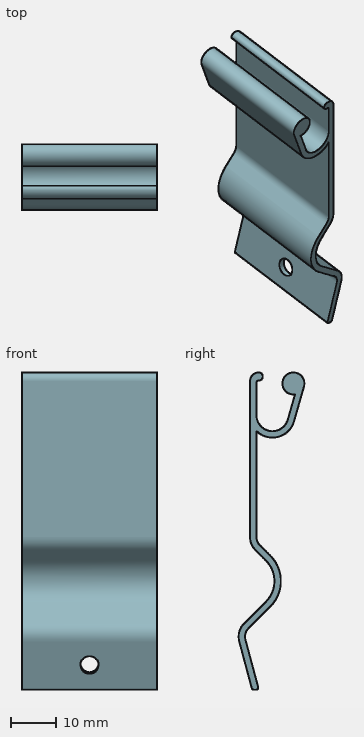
import cadquery as cq
import math

width = 30.0
height = 70.5
thickness = 1.5

bend_outer_radius = 4.0
bend_mid_radius = bend_outer_radius - thickness / 2
bulge_inner_radius = 6.5
bulge_mid_radius = bulge_inner_radius + thickness / 2
slope_angle = 45.0
tail_angle = 15.0
upper_bend_z = 33.9
bulge_y = -1.05
lower_bend_y = 1.5
foot_edge_radius = 0.5

lip_outer_radius = 2.0
lip_bulb_radius = 0.9
lip_fillet_radius = 0.5

hook_outer_radius = 5.0
hook_inner_radius = hook_outer_radius - thickness
hook_z = 61.0
hook_leg_angle = 16.0
bead_radius = 2.5

hole_diameter = 4.0
hole_z = 5.675


def polar(center, radius, angle):
    """Point at an angle (degrees from +Y towards +Z) around a (Y, Z) center."""
    turn = math.radians(angle)
    return (center[0] + radius * math.cos(turn), center[1] + radius * math.sin(turn))


def profile():
    """Sketch plane whose local axes are Y and Z, on the side face of the part."""
    return cq.Workplane("YZ").workplane(offset=-width / 2)


tangent_reach = (bend_mid_radius + bulge_mid_radius) / math.sin(math.radians(slope_angle))
upper_bend = (bend_outer_radius, upper_bend_z)
bulge = (bulge_y, upper_bend_z - tangent_reach + (bend_outer_radius - bulge_y))
lower_bend = (lower_bend_y, bulge[1] - tangent_reach + (lower_bend_y - bulge_y))
lip_center = (lip_outer_radius, height - lip_outer_radius)


def tail_point(offset, z):
    """Point of the sloping tail at height z, offset to the front of its mid-surface."""
    start = polar(lower_bend, bend_mid_radius + offset, 180 + tail_angle)
    return (start[0] + (start[1] - z) * math.tan(math.radians(tail_angle)), z)


def face_arcs(offset):
    """Start, middle and end points of the three bends on one face, top to bottom."""
    bends = (
        (upper_bend, bend_mid_radius + offset, 180, 180 + slope_angle),
        (bulge, bulge_mid_radius - offset, slope_angle, -slope_angle),
        (lower_bend, bend_mid_radius + offset, 180 - slope_angle, 180 + tail_angle),
    )
    return [
        [polar(center, radius, angle) for angle in (start, (start + end) / 2, end)]
        for center, radius, start, end in bends
    ]


def make_strip():
    half = thickness / 2
    outline = profile().moveTo(0, lip_center[1])
    for start, middle, end in face_arcs(half):
        outline = outline.lineTo(*start).threePointArc(middle, end)
    outline = outline.lineTo(*tail_point(half, 0)).lineTo(*tail_point(-half, 0))
    for start, middle, end in reversed(face_arcs(-half)):
        outline = outline.lineTo(*end).threePointArc(middle, start)
    strip = outline.lineTo(thickness, lip_center[1]).close().extrude(width)
    return strip.faces("<Z").edges("|X").fillet(foot_edge_radius)


def make_lip():
    """Quarter roll ending in a round bulb, with a fillet under it."""
    inner_radius = lip_outer_radius - thickness
    roll = (
        profile()
        .moveTo(0, lip_center[1])
        .threePointArc(polar(lip_center, lip_outer_radius, 135), (lip_center[0], height))
        .lineTo(lip_center[0], height - thickness)
        .threePointArc(polar(lip_center, inner_radius, 135), (thickness, lip_center[1]))
        .close()
        .extrude(width)
    )
    bulb_center = (lip_center[0], height - lip_bulb_radius)
    bulb = profile().center(*bulb_center).circle(lip_bulb_radius).extrude(width)

    fillet_y = thickness + lip_fillet_radius
    reach = lip_bulb_radius + lip_fillet_radius
    drop = math.sqrt(reach**2 - (fillet_y - bulb_center[0]) ** 2)
    fillet_center = (fillet_y, bulb_center[1] - drop)
    touch_angle = math.degrees(math.atan2(drop, bulb_center[0] - fillet_y))
    web = (
        profile()
        .moveTo(thickness, fillet_center[1])
        .threePointArc(
            polar(fillet_center, lip_fillet_radius, (180 + touch_angle) / 2),
            polar(fillet_center, lip_fillet_radius, touch_angle),
        )
        .lineTo(*bulb_center)
        .lineTo(thickness / 2, bulb_center[1])
        .lineTo(thickness / 2, fillet_center[1])
        .close()
        .extrude(width)
    )
    return roll.union(bulb).union(web)


def make_hook():
    """U-shaped hook whose leaning leg runs tangent into a round bead."""
    lean = math.radians(hook_leg_angle)
    center = (thickness + hook_inner_radius, hook_z)
    bead_z = height - bead_radius
    rise = bead_z - hook_z
    bead_shift = (hook_outer_radius - bead_radius + rise * math.sin(lean)) / math.cos(lean)
    bead_center = (center[0] + bead_shift, bead_z)

    leg_normal = -hook_leg_angle
    bottom = (180 + 360 + leg_normal) / 2
    hook = (
        profile()
        .moveTo(*polar(center, hook_outer_radius, 180))
        .threePointArc(
            polar(center, hook_outer_radius, bottom), polar(center, hook_outer_radius, leg_normal)
        )
        .lineTo(*polar(bead_center, bead_radius, leg_normal))
        .lineTo(*polar(bead_center, bead_radius - thickness, leg_normal))
        .lineTo(*polar(center, hook_inner_radius, leg_normal))
        .threePointArc(
            polar(center, hook_inner_radius, bottom), polar(center, hook_inner_radius, 180)
        )
        .close()
        .extrude(width)
    )
    bead = profile().center(*bead_center).circle(bead_radius).extrude(width)
    return hook.union(bead)


def make_hole_cutter():
    """Cylinder square to the tail, long enough to pass through it."""
    y, z = tail_point(0, hole_z)
    lean = math.radians(tail_angle)
    axis = cq.Vector(0, math.cos(lean), math.sin(lean))
    start = cq.Vector(0, y, z) - axis * thickness
    return cq.Workplane(cq.Solid.makeCylinder(hole_diameter / 2, 2 * thickness, start, axis))


result = make_strip().union(make_lip()).union(make_hook()).cut(make_hole_cutter())